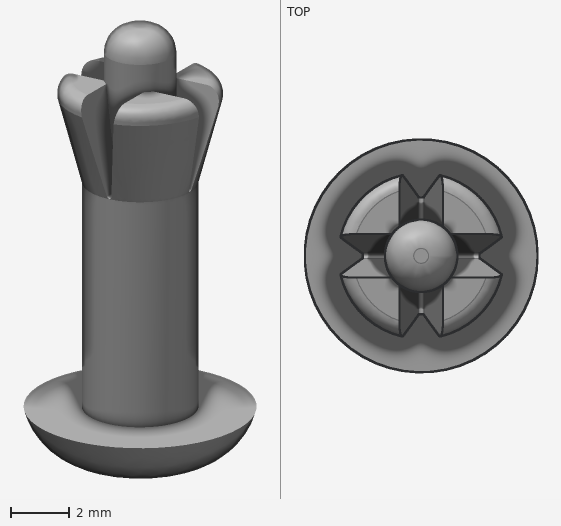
import cadquery as cq
import math

total_height = 15.96
head_radius = 3.998
head_height = 1.95
shaft_radius = head_radius / 2

cap_height = 0.11
shoulder_bulge = 0.4

collar_bottom = 10.21
collar_top = 13.96
collar_radius = 2.84
collar_rounding = 0.5
collar_band_height = 0.13

pin_radius = 1.25
pin_rounding = 0.99

slot_top_width = 1.5
slot_root_radius = 0.1
slot_bottom = 10.23


def arc_midpoint(start, end, bulge):
    """Point at the middle of an arc bulging to the right of its chord."""
    dx = end[0] - start[0]
    dy = end[1] - start[1]
    chord = math.hypot(dx, dy)
    x = (start[0] + end[0]) / 2 + bulge * dy / chord
    y = (start[1] + end[1]) / 2 - bulge * dx / chord
    return x, y


def make_body():
    """Head, shaft and flared collar as one revolved profile."""
    cap_edge = (shaft_radius, cap_height)
    rim = (head_radius, head_height)
    cap_sphere_radius = (shaft_radius**2 + cap_height**2) / (2 * cap_height)
    cap_mid_x = shaft_radius / 2
    cap_mid_z = cap_sphere_radius - math.sqrt(cap_sphere_radius**2 - cap_mid_x**2)
    rounding_start = collar_top - collar_rounding
    profile = (
        cq.Workplane("XZ")
        .moveTo(0, 0)
        .threePointArc((cap_mid_x, cap_mid_z), cap_edge)
        .threePointArc(arc_midpoint(cap_edge, rim, shoulder_bulge), rim)
        .lineTo(shaft_radius, head_height)
        .lineTo(shaft_radius, collar_bottom)
        .lineTo(collar_radius, rounding_start - collar_band_height)
        .lineTo(collar_radius, rounding_start)
        .tangentArcPoint((collar_radius - collar_rounding, collar_top), relative=False)
        .lineTo(0, collar_top)
        .close()
    )
    return profile.revolve(360, (0, 0, 0), (0, 1, 0))


def make_slot():
    """V-shaped prism along Y with a rounded root, tangent to its sloping walls."""
    half_top = slot_top_width / 2
    root_center = slot_bottom + slot_root_radius
    rise = collar_top - root_center
    reach = math.hypot(half_top, rise)
    tilt = math.asin(slot_root_radius / reach) - math.atan2(half_top, rise)
    normal_x = math.cos(tilt)
    normal_z = math.sin(tilt)
    tangent_x = slot_root_radius * normal_x
    tangent_z = root_center + slot_root_radius * normal_z
    return (
        cq.Workplane("XZ")
        .moveTo(-half_top, collar_top)
        .lineTo(-tangent_x, tangent_z)
        .threePointArc((0, slot_bottom), (tangent_x, tangent_z))
        .lineTo(half_top, collar_top)
        .close()
        .extrude(head_radius, both=True)
    )


def make_pin():
    """Round-topped pin rising from the bottom of the collar."""
    return (
        cq.Workplane("XY", origin=(0, 0, collar_bottom))
        .circle(pin_radius)
        .extrude(total_height - collar_bottom)
        .faces(">Z")
        .edges()
        .fillet(pin_rounding)
    )


result = make_body()
for angle in (0, 90):
    result = result.cut(make_slot().rotate((0, 0, 0), (0, 0, 1), angle))
result = result.union(make_pin())